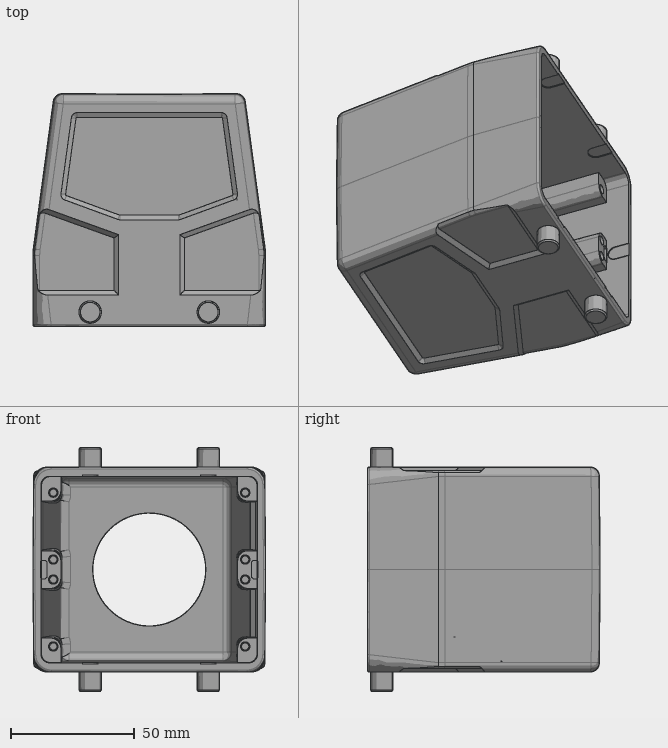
import cadquery as cq
import math

half_width = 47.0
half_length = 47.0
half_height = 41.4
back_half_width = 38.3
bend_y = -16.9
bend_radius = 19.7
draft_angle = 0.5
edge_radius = 3.8
mouth_edge_radius = 7.2
rim_radius = 0.9

overrun = 5.9
pick_margin = 1.0

mouth_half_width = 43.8
neck_half_width = 42.9
neck_y = -16.3
ledge_half_width = 40.9
ledge_y = -14.4
mouth_half_depth = 37.6
floor_half_depth = 36.7
floor_y = 43.0
floor_left_x = -35.5
floor_right_x = 32.8
cavity_radius = 3.5
cable_hole_diameter = 45.5

post_front_y = -37.3
post_inner_x = 35.7
post_inner_growth = 0.5
post_side_growth = 1.5
post_base_radius = 3.4
post_corner_radius = 3.9
corner_post_z = 27.7
middle_post_half_height = 7.6
screw_x = 38.7
corner_screw_z = 31.0
middle_screw_z = 4.0
screw_mouth_diameter = 3.7
screw_end_diameter = 3.0
screw_hole_depth = 11.8
notch_x = 41.2
notch_half_height = 3.7
notch_corner = 0.8
notch_depth = 9.85

pin_x = 23.8
pin_y = -41.2
pin_radius = 4.5
pin_root_z = 38.6
pin_tip_z = 49.25
pin_tip_chamfer = 0.6
slot_width = 6.3
slot_depth = 0.5

panel_depth = 1.4
panel_wall_width = 1.9
panel_corner_radius = 2.4
panel_wall_angle = math.degrees(math.atan(panel_wall_width / panel_depth))
grip_edge_outset = 0.5
grip_edge_radius = 3.0
large_panel = [
    (-31.1, 39.3), (31.1, 39.3), (35.9, 4.7), (12.2, -3.9), (-12.2, -3.9), (-35.9, 4.7),
]
grip_inner_x = 12.3
grip_inner_y = -9.9
grip_front_y = -34.3
grip_outer_x = 59.1
grip_slope = 0.36

bend_angle = math.atan((half_width - back_half_width) / (half_length - bend_y))
bend_end_y = bend_y - bend_radius * math.tan(bend_angle / 2)
side_draft_inset = half_height * math.tan(math.radians(draft_angle))


def both_halves(upper):
    """Add the mirror image of an upper half below the XY plane."""
    return upper.union(upper.mirror("XY"))


def drafted_half(height, outset, radius):
    """Upper half of the hood with its side walls carried straight past the mouth."""
    front = -half_length - 2 * overrun
    side = half_width + outset
    back = back_half_width + outset
    half = (
        cq.Workplane("XY")
        .polyline([(-side, front), (side, front), (side, bend_y), (back, half_length),
                   (-back, half_length), (-side, bend_y)])
        .close()
        .extrude(height, taper=draft_angle)
    )
    bends = cq.selectors.BoxSelector(
        (-side, bend_y - pick_margin, 0), (side, bend_y + pick_margin, height)
    )
    half = half.edges(bends).fillet(bend_radius)
    half = half.edges("not #Z").edges(">Y").fillet(edge_radius)
    return half.faces(">Z").edges("not <Y").fillet(radius)


def mouth_section(corner_radius):
    """Cross-section near the mouth, widest at mid-height, with four rounded corners."""
    top_half_width = half_width - side_draft_inset
    outline = [
        (top_half_width, half_height), (half_width, 0), (top_half_width, -half_height),
        (-top_half_width, -half_height), (-half_width, 0), (-top_half_width, half_height),
        (top_half_width, half_height),
    ]
    return cq.Sketch().polygon(outline).vertices(">Y or <Y").fillet(corner_radius)


def make_outer():
    """Solid hood: drafted rear joined to a front whose corners widen toward the mouth."""
    rear = both_halves(drafted_half(half_height, 0, edge_radius))
    keep_length = half_length - bend_end_y + overrun
    rear = rear.intersect(
        cq.Workplane("XY").box(4 * half_width, keep_length, 4 * half_height)
        .translate((0, bend_end_y + keep_length / 2, 0))
    )
    run = half_length + bend_end_y
    front = (
        cq.Workplane("XZ", origin=(0, bend_end_y, 0))
        .placeSketch(
            mouth_section(edge_radius),
            mouth_section(mouth_edge_radius).moved(cq.Location(cq.Vector(0, 0, run))),
        )
        .loft(ruled=True)
    )
    front = front.faces("<Y").edges().fillet(rim_radius)
    return rear.union(front)


def cavity_slab():
    """Wedge between the inner top and bottom walls, which close in toward the floor."""
    slope = (mouth_half_depth - floor_half_depth) / (half_length + floor_y)
    front = -half_length - overrun
    front_depth = mouth_half_depth + slope * overrun
    return (
        cq.Workplane("YZ")
        .polyline([(front, -front_depth), (floor_y, -floor_half_depth),
                   (floor_y, floor_half_depth), (front, front_depth)])
        .close()
        .extrude(half_width, both=True)
    )


def make_cavity():
    """Main cavity plus a wider mouth that leaves a sloped ledge on the thicker +X wall."""
    slab = cavity_slab()
    front = -half_length - overrun
    main = (
        cq.Workplane("XY")
        .polyline([(-neck_half_width, neck_y), (floor_left_x, floor_y),
                   (floor_right_x, floor_y), (ledge_half_width, neck_y)])
        .close()
        .extrude(half_height, both=True)
        .intersect(slab)
        .edges("not <Y").fillet(cavity_radius)
    )
    mouth = (
        cq.Workplane("XY")
        .polyline([(-mouth_half_width, front), (-neck_half_width, neck_y),
                   (-ledge_half_width, ledge_y), (ledge_half_width, ledge_y),
                   (neck_half_width, neck_y), (mouth_half_width, front)])
        .close()
        .extrude(half_height, both=True)
        .intersect(slab)
    )
    lengthwise = cq.selectors.BoxSelector(
        (-half_width, front + pick_margin, -half_height), (half_width, neck_y, half_height)
    )
    mouth = mouth.edges("not |Z").edges(lengthwise).fillet(cavity_radius)
    return main.union(mouth)


def post_section(width, half_z):
    """Rectangle with its two inner corners rounded."""
    return cq.Sketch().rect(width, 2 * half_z).vertices("<X").fillet(post_corner_radius)


def post(center_z, half_z):
    """Right-hand post that grows toward a filleted base and reaches into the side wall."""
    width = half_width - post_inner_x + overrun
    length = floor_y - post_front_y
    plane = cq.Plane(
        origin=(post_inner_x + width / 2, post_front_y, center_z),
        xDir=(1, 0, 0), normal=(0, 1, 0),
    )
    foot = post_section(width + 2 * post_inner_growth, half_z + post_side_growth)
    column = (
        cq.Workplane(plane)
        .placeSketch(
            post_section(width, half_z), foot.moved(cq.Location(cq.Vector(0, 0, length)))
        )
        .loft(ruled=True)
    )
    margin = 2 * post_base_radius
    base = (
        cq.Workplane(plane).workplane(offset=length)
        .rect(width + 2 * margin, 2 * (half_z + margin))
        .extrude(overrun)
    )
    foot_edges = cq.selectors.BoxSelector(
        (post_inner_x - margin / 2, floor_y - pick_margin, center_z - half_z - margin / 2),
        (post_inner_x + width + margin / 2, floor_y + pick_margin, center_z + half_z + margin / 2),
    )
    return base.union(column).edges(foot_edges).fillet(post_base_radius)


def make_posts():
    corner_half_z = (half_height + overrun - corner_post_z) / 2
    corner_center_z = corner_post_z + corner_half_z
    right = post(0, middle_post_half_height)
    right = right.union(post(corner_center_z, corner_half_z))
    right = right.union(post(-corner_center_z, corner_half_z))
    return right.union(right.mirror("YZ"))


def make_screw_holes():
    """Blind, slightly tapered screw holes in the post faces."""
    places = [
        (side * screw_x, z)
        for side in (-1, 1)
        for z in (-corner_screw_z, -middle_screw_z, middle_screw_z, corner_screw_z)
    ]
    narrowing = (screw_mouth_diameter - screw_end_diameter) / 2
    hole_draft = math.degrees(math.atan(narrowing / screw_hole_depth))
    return (
        cq.Workplane("XZ", origin=(0, post_front_y, 0))
        .pushPoints(places)
        .circle(screw_mouth_diameter / 2)
        .extrude(-screw_hole_depth, taper=hole_draft)
    )


def make_notches():
    """Bevelled notches in the wall side of the two middle posts."""
    width = mouth_half_width - notch_x
    notch = (
        cq.Workplane("XY")
        .box(width, notch_depth, 2 * notch_half_height)
        .edges("<X and |Y").chamfer(notch_corner)
        .translate((notch_x + width / 2, post_front_y + notch_depth / 2, 0))
    )
    return notch.union(notch.mirror("YZ"))


def make_pins():
    pins = (
        cq.Workplane("XY", origin=(0, 0, pin_root_z))
        .pushPoints([(-pin_x, pin_y), (pin_x, pin_y)])
        .circle(pin_radius)
        .extrude(pin_tip_z - pin_root_z)
        .faces(">Z").edges().chamfer(pin_tip_chamfer)
    )
    return pins.union(pins.mirror("XY"))


def make_slots():
    """Round-ended shallow slots in all four inner walls, open at the mouth."""
    length = 4 * slot_width
    center_y = pin_y + slot_width / 2 - length / 2
    pin_slots = (
        cq.Workplane("XY")
        .pushPoints([(-pin_x, center_y), (pin_x, center_y)])
        .slot2D(length, slot_width, 90)
        .extrude(mouth_half_depth + slot_depth, both=True)
    )
    side_slots = (
        cq.Workplane("YZ")
        .center(center_y, 0)
        .slot2D(length, slot_width, 0)
        .extrude(mouth_half_width, both=True)
    )
    return pin_slots.union(side_slots)


def make_panels():
    """Recesses with sloping walls: one large panel and two grips that run off the sides."""
    top = cq.Workplane("XY", origin=(0, 0, half_height))
    large_sketch = (
        cq.Sketch().polygon(large_panel + large_panel[:1])
        .vertices().fillet(panel_corner_radius)
    )
    large = top.placeSketch(large_sketch).extrude(-panel_depth, taper=panel_wall_angle)

    grip_outer_y = grip_inner_y + grip_slope * (grip_outer_x - grip_inner_x)
    cut_depth = 2 * panel_depth
    grip = (
        top.polyline([(-grip_inner_x, grip_inner_y), (-grip_inner_x, grip_front_y),
                      (-grip_outer_x, grip_front_y), (-grip_outer_x, grip_outer_y)])
        .close()
        .extrude(-cut_depth, taper=panel_wall_angle)
    )
    grips = grip.union(grip.mirror("YZ"))
    grip_bed = drafted_half(half_height - panel_depth, grip_edge_outset, grip_edge_radius)
    return both_halves(large.union(grips.cut(grip_bed)))


outer = make_outer()
void = make_cavity().cut(make_posts())
void = void.union(make_slots())
cable_hole = (
    cq.Workplane("XZ")
    .circle(cable_hole_diameter / 2)
    .extrude(-half_length - overrun)
)

result = (
    outer.cut(make_panels())
    .cut(void)
    .union(make_pins())
    .cut(cable_hole)
    .cut(make_screw_holes())
    .cut(make_notches())
)